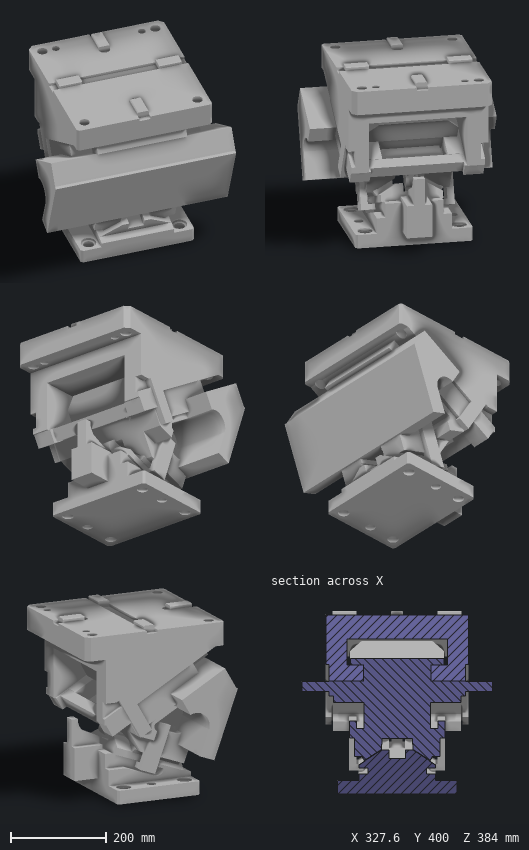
import cadquery as cq
import math


RAIL_ANGLE = math.radians(30)
RAIL_X = 126.5
RAIL_Z = 146.5
RAMP_ANGLE = math.radians(-20)
RAMP_X = 119.0
RAMP_Z = 126.5


def rail(u, v):
    """(x, z) of a point u along the rail and v square to it."""
    c, s = math.cos(RAIL_ANGLE), math.sin(RAIL_ANGLE)
    return (RAIL_X + u * c - v * s, RAIL_Z + u * s + v * c)


def ramp(p, q):
    """(x, z) of a point p along the ramp and q square to it."""
    c, s = math.cos(RAMP_ANGLE), math.sin(RAMP_ANGLE)
    return (RAMP_X + p * c - q * s, RAMP_Z + p * s + q * c)


def ramp_at_x(x, q):
    """(x, z) of the point with the given x on the ramp line of height q."""
    p = (x - RAMP_X + q * math.sin(RAMP_ANGLE)) / math.cos(RAMP_ANGLE)
    return ramp(p, q)


def rail_at_z(z, v):
    """(x, z) of the point with the given z on the rail line of height v."""
    u = (z - RAIL_Z - v * math.cos(RAIL_ANGLE)) / math.sin(RAIL_ANGLE)
    return rail(u, v)


def nose(q):
    """(x, z) of the point of ramp height q on the nose plane u = 0."""
    dx, dz = RAIL_X - RAMP_X, RAIL_Z - RAMP_Z
    q_origin = dz * math.cos(RAMP_ANGLE) - dx * math.sin(RAMP_ANGLE)
    return rail(0, (q - q_origin) / math.cos(RAIL_ANGLE - RAMP_ANGLE))


def along_y(outline, y_from, y_to):
    """Extrude a closed XZ sketch from y_from to y_to."""
    return outline.extrude(y_from - y_to).translate((0, y_from, 0))


def polygon(points):
    return cq.Workplane("XZ").polyline(points).close()


def centred(points, half_width):
    """Prism of an XZ polygon, symmetric about Y = 0."""
    return along_y(polygon(points), -half_width, half_width)


def both_sides(outline, y_inner, y_outer):
    """The same XZ sketch extruded on the +Y side and mirrored to the -Y side."""
    near = along_y(outline, y_inner, y_outer)
    return near.union(near.mirror("XZ"))


def rail_box(u0, u1, v0, v1):
    return [rail(u0, v0), rail(u1, v0), rail(u1, v1), rail(u0, v1)]


def ramp_box(p0, p1, q0, q1):
    return [ramp(p0, q0), ramp(p1, q0), ramp(p1, q1), ramp(p0, q1)]


def ramp_section(p0, p1, points):
    """Prism of a (y, q) polygon running along the ramp from p0 to p1."""
    x, z = ramp(p0, 0)
    along = (math.cos(RAMP_ANGLE), 0, math.sin(RAMP_ANGLE))
    plane = cq.Plane(origin=(x, 0, z), xDir=(0, 1, 0), normal=along)
    return cq.Workplane(plane).polyline(points).close().extrude(p1 - p0)


def flank(y):
    """q of the gable flank at the distance y from the symmetry plane."""
    return -GABLE_SLOPE * (y - GABLE_TOP_HALF)


def box(x0, x1, half_width, z0, z1):
    return cq.Workplane("XY").box(
        x1 - x0, 2 * half_width, z1 - z0, centered=(False, True, False)
    ).translate((x0, 0, z0))


SLIDE_TOP = 38.0
ARM_WIDTH = 29.5
BODY_FOOT = -14.5
SHOULDER_FOOT = 21.0
GABLE_TOP_HALF = 31.0
GABLE_SLOPE = 0.61

PLATE_LENGTH = 321.0
PLATE_HALF = 150.0
PLATE_TOP = 376.0
PLATE_BOTTOM = 325.0
FRONT_CHAMFER = 10.5
REAR_CHAMFER = 5.0
KEY_LENGTH = 50.5
KEY_WIDTH = 25.0
KEY_TOP = 384.0
KEY_CHAMFER = 2.0
SLOT_DEPTH = 6.5
CROSS_SLOT_X = 152.5
END_SLOT_LENGTH = 73.0
KEY_EDGE_GAP = 11.0
CROSS_KEY_Y = 110.5
HOLE_Y = 125.0
FRONT_HOLE_X = 25.0
REAR_HOLE_X = 295.0
HOLE_DIAMETER = 22.5
PIN_HOLE_Y = 95.0
PIN_HOLE_DIAMETER = 17.0
HOLE_DEPTH = 80.0

LEG_X = 45.0
HOLDER_FOOT = 68.0
RAIL_START = -50.0
RAIL_END = 180.5
RAIL_TIP_INNER = 100.5
RAIL_INNER = 70.0
RAIL_OUTER = 143.0
ARM_INNER = 137.5
ARM_TOP = 100.0
RECESS_TOP = 229.0
RECESS_STEP = 81.0
RECESS_FLOOR = 134.5
CAVITY_HALF = 105.0
CAVITY_TOP = 289.0
CAVITY_ROOF = 122.0
CAVITY_END = 168.0
TIE_START = -40.0
TIE_END = -16.0
TIE_FOOT = 39.0
TIE_TOP = 67.0
STOP_START = 191.0
STOP_END = 229.5
STOP_HALF = 99.0
OUTSIDE = 20.0


def make_key():
    """Key along X, centred on the origin, standing from slot floor to key top."""
    height = KEY_TOP - PLATE_TOP + SLOT_DEPTH
    key = cq.Workplane("XY").box(KEY_LENGTH, KEY_WIDTH, height, centered=(True, True, False))
    return key.faces(">Z").edges("|X").chamfer(KEY_CHAMFER)


def make_mounting_plate():
    plate = box(0, PLATE_LENGTH, PLATE_HALF, PLATE_BOTTOM, PLATE_TOP)
    plate = plate.edges("|Z and <X").chamfer(FRONT_CHAMFER)
    return plate.edges("|Z and >X").chamfer(REAR_CHAMFER)


def cut_key_slots(holder):
    floor = PLATE_TOP - SLOT_DEPTH
    radius = KEY_WIDTH / 2
    holder = holder.cut(box(CROSS_SLOT_X - radius, CROSS_SLOT_X + radius, PLATE_HALF, floor, PLATE_TOP))
    for x_edge, inward in ((0, 1), (PLATE_LENGTH, -1)):
        x_round = x_edge + inward * (END_SLOT_LENGTH - radius)
        holder = holder.cut(box(min(x_edge, x_round), max(x_edge, x_round), radius, floor, PLATE_TOP))
        holder = holder.cut(cq.Workplane("XY", origin=(x_round, 0, floor)).circle(radius).extrude(SLOT_DEPTH))
    return holder


def add_keys(holder):
    floor = PLATE_TOP - SLOT_DEPTH
    end_offset = KEY_EDGE_GAP + KEY_LENGTH / 2
    for x in (end_offset, PLATE_LENGTH - end_offset):
        holder = holder.union(make_key().translate((x, 0, floor)))
    cross_key = make_key().rotate((0, 0, 0), (0, 0, 1), 90)
    for y in (-CROSS_KEY_Y, CROSS_KEY_Y):
        holder = holder.union(cross_key.translate((CROSS_SLOT_X, y, floor)))
    return holder


def cut_mounting_holes(holder):
    top = cq.Workplane("XY", origin=(0, 0, PLATE_TOP))
    bolts = [(x, y) for x in (FRONT_HOLE_X, REAR_HOLE_X) for y in (-HOLE_Y, HOLE_Y)]
    pins = [(FRONT_HOLE_X, -PIN_HOLE_Y), (FRONT_HOLE_X, PIN_HOLE_Y)]
    holder = holder.cut(top.pushPoints(bolts).circle(HOLE_DIAMETER / 2).extrude(-HOLE_DEPTH))
    return holder.cut(top.pushPoints(pins).circle(PIN_HOLE_DIAMETER / 2).extrude(-HOLE_DEPTH))


def cut_side_recesses(body):
    """Stepped recess in both flanks, in front of the arms."""
    x_out = LEG_X - OUTSIDE
    corner = rail_at_z(RECESS_TOP, ARM_TOP)
    shallow = [rail(0, ARM_TOP), corner, (x_out, RECESS_TOP), (x_out, RAIL_Z), rail(0, 0)]
    step_front = rail(2 * RAIL_START, RECESS_STEP)
    deep = [rail(0, ARM_TOP), corner, (x_out, RECESS_TOP), step_front, rail(0, RECESS_STEP)]
    body = body.cut(both_sides(polygon(shallow), RAIL_OUTER, PLATE_HALF))
    return body.cut(both_sides(polygon(deep), RECESS_FLOOR, PLATE_HALF))


def cut_cavity(body):
    """Passage between the legs, open at the front and below."""
    x_out = LEG_X - OUTSIDE
    outline = [
        (x_out, RAIL_Z),
        (x_out, CAVITY_TOP),
        rail_at_z(CAVITY_TOP, CAVITY_ROOF),
        rail(CAVITY_END, CAVITY_ROOF),
        rail(CAVITY_END, HOLDER_FOOT),
        rail(0, HOLDER_FOOT),
    ]
    return body.cut(centred(outline, CAVITY_HALF))


def make_holder():
    body_front_foot = rail(RAIL_START, HOLDER_FOOT)
    outline = [
        (LEG_X, PLATE_BOTTOM),
        (LEG_X, body_front_foot[1]),
        body_front_foot,
        rail_at_z(PLATE_BOTTOM, HOLDER_FOOT),
    ]
    body = centred(outline, PLATE_HALF)
    body = cut_cavity(cut_side_recesses(body))
    rail_tips = polygon(rail_box(RAIL_START, TIE_END, SLIDE_TOP, HOLDER_FOOT))
    rails = polygon(rail_box(TIE_END, RAIL_END, SLIDE_TOP, HOLDER_FOOT))
    rails = both_sides(rails, RAIL_INNER, RAIL_OUTER).union(both_sides(rail_tips, RAIL_TIP_INNER, RAIL_OUTER))
    tie = centred(rail_box(TIE_START, TIE_END, TIE_FOOT, TIE_TOP), RAIL_TIP_INNER)
    arms = both_sides(polygon(rail_box(0, ARM_WIDTH, 0, ARM_TOP)), ARM_INNER, PLATE_HALF)
    end_stop = centred(rail_box(STOP_START, STOP_END, SLIDE_TOP, HOLDER_FOOT), STOP_HALF)
    holder = make_mounting_plate().union(body).union(rails).union(tie).union(arms).union(end_stop)
    return cut_mounting_holes(add_keys(cut_key_slots(holder)))


BODY_HALF = 89.5
BODY_END = 150.0
BODY_REAR_TOP = 120.0
SLIDE_END = 220.0
SHOULDER_HALF = 134.5
SHOULDER_END = 41.0
SHOULDER_REAR_TOP = 48.0
FLANGE_FOOT = 11.0
WING_HALF = 200.0
WING_START = 105.0
WING_FACE = 121.5
WING_END = 156.5
WING_REAR_TOP = 180.0
WING_BREAK = -12.5
ARC_MID = ramp(101.0, 108.0)
ARC_END = 81.0
ARC_FOOT = -1.5
POCKET_INNER = 70.0
POCKET_START = 46.0
POCKET_FRONT = ramp(31.5, 49.0)
POCKET_FLOOR = 42.0
POCKET_FLOOR_START = 43.5
POCKET_FLOOR_END = 112.0
POCKET_REAR = ramp(118.0, 43.0)
POCKET_REAR_TOP = 47.0
NECK_START = 36.0
HEAD_START = 32.0
NECK_END = 182.0
HEAD_END = 140.0
HEAD_HALF = 99.0
HEAD_TOP = 121.0
HEAD_CHAMFER = 25.0
GROOVE_WIDTH = 5.5
GROOVE_DEPTH = 8.0
CLAW_START = 51.0
CLAW_END = 86.5
CLAW_FOOT = -50.5
CLAW_TOP = 57.0
CLAW_OUTER = 100.5
CLAW_INNER = 85.0
HOOK_INNER = 70.0
HOOK_TOP = -38.5
RELIEF_TOP = 11.0
RELIEF_HALF = 75.0
LINER_START = 36.0
LINER_INNER = 33.0
LINER_TIP = 68.5
LINER_OUTER = 74.0
LINER_OVERLAP = 2.5
BUMPER_X = 120.0
BUMPER_Z = 131.0
BUMPER_RADIUS = 14.5
BUMPER_HALF = 13.0
STUB_START = -13.0
STUB_END = 10.0
STUB_FOOT = -17.5
STUB_TOP = 4.5


def make_wings():
    """Wide rear block with an arched front."""
    outline = (
        cq.Workplane("XZ")
        .moveTo(*rail(WING_START, SLIDE_TOP))
        .lineTo(*rail(WING_START, ARC_FOOT))
        .threePointArc(ARC_MID, ramp(WING_FACE, ARC_END))
        .lineTo(*ramp(WING_FACE, SHOULDER_FOOT))
        .lineTo(*ramp(WING_END, SHOULDER_FOOT))
        .lineTo(*ramp(WING_END, WING_REAR_TOP))
        .lineTo(*rail(SLIDE_END, WING_BREAK))
        .lineTo(*rail(SLIDE_END, SLIDE_TOP))
        .close()
    )
    return along_y(outline, -WING_HALF, WING_HALF)


def make_side_pockets():
    """Rounded hollows in both flanks, under the shoulders and in front of the wings."""
    outline = (
        cq.Workplane("XZ")
        .moveTo(*rail(WING_START, ARC_FOOT))
        .lineTo(*rail(POCKET_START, ARC_FOOT))
        .threePointArc(POCKET_FRONT, ramp(POCKET_FLOOR_START, POCKET_FLOOR))
        .lineTo(*ramp(POCKET_FLOOR_END, POCKET_FLOOR))
        .threePointArc(POCKET_REAR, ramp(WING_FACE, POCKET_REAR_TOP))
        .lineTo(*ramp(WING_FACE, ARC_END))
        .threePointArc(ARC_MID, rail(WING_START, ARC_FOOT))
        .close()
    )
    return both_sides(outline, POCKET_INNER, SHOULDER_HALF)


def make_vee_relief():
    """Gable-shaped passage through the slide, clear of the driver."""
    half = [
        (GABLE_TOP_HALF, SHOULDER_FOOT),
        (GABLE_TOP_HALF, RELIEF_TOP),
        (RELIEF_HALF, BODY_FOOT),
    ]
    outline = half + [(-y, q) for y, q in reversed(half)]
    return ramp_section(-OUTSIDE, BODY_END + OUTSIDE, outline)


def make_liners():
    """Pads that rest on the slopes of the driver gable."""
    outline = [
        (LINER_INNER, flank(LINER_INNER)),
        (LINER_TIP, flank(LINER_TIP)),
        (LINER_OUTER, BODY_FOOT),
        (LINER_OUTER, BODY_FOOT + LINER_OVERLAP),
        (LINER_INNER, RELIEF_TOP),
    ]
    liner = ramp_section(LINER_START, BODY_END, outline)
    return liner.union(liner.mirror("XZ"))


def make_claws():
    """Straps on both flanks with hooks that reach into the driver grooves."""
    strap = polygon(ramp_box(CLAW_START, CLAW_END, CLAW_FOOT, CLAW_TOP))
    hook = polygon(ramp_box(CLAW_START, CLAW_END, CLAW_FOOT, HOOK_TOP))
    straps = both_sides(strap, CLAW_INNER, CLAW_OUTER)
    return straps.union(both_sides(hook, HOOK_INNER, CLAW_OUTER))


def make_hanger():
    """Neck between the holder rails and chamfered head that rests on them."""
    neck = centred(rail_box(NECK_START, NECK_END, SLIDE_TOP, HOLDER_FOOT), RAIL_INNER)
    x, z = rail(HEAD_START, 0)
    along = (math.cos(RAIL_ANGLE), 0, math.sin(RAIL_ANGLE))
    plane = cq.Plane(origin=(x, 0, z), xDir=(0, 1, 0), normal=along)
    half = [
        (HEAD_HALF, HOLDER_FOOT),
        (HEAD_HALF, HEAD_TOP - HEAD_CHAMFER),
        (HEAD_HALF - HEAD_CHAMFER, HEAD_TOP),
    ]
    outline = half + [(-y, v) for y, v in reversed(half)]
    head = cq.Workplane(plane).polyline(outline).close().extrude(HEAD_END - HEAD_START)
    return neck.union(head)


def make_bumper():
    """Round-nosed stub in front of the slide, over the notch of the gable."""
    roller = cq.Workplane("XZ", origin=(BUMPER_X, 0, BUMPER_Z)).circle(BUMPER_RADIUS)
    roller = roller.extrude(BUMPER_HALF, both=True)
    return roller.union(centred(rail_box(STUB_START, STUB_END, STUB_FOOT, STUB_TOP), BUMPER_HALF))


def make_slide():
    body = centred(
        [
            rail(0, SLIDE_TOP),
            nose(BODY_FOOT),
            ramp(BODY_END, BODY_FOOT),
            ramp(BODY_END, BODY_REAR_TOP),
            rail(SLIDE_END, SLIDE_TOP),
        ],
        BODY_HALF,
    )
    shoulders = centred(
        [
            rail(0, SLIDE_TOP),
            nose(SHOULDER_FOOT),
            ramp(SHOULDER_END, SHOULDER_FOOT),
            ramp(SHOULDER_END, SHOULDER_REAR_TOP),
            rail(WING_START, ARC_FOOT),
            rail(WING_START, SLIDE_TOP),
        ],
        SHOULDER_HALF,
    )
    flanges = centred(rail_box(ARM_WIDTH, WING_START, FLANGE_FOOT, SLIDE_TOP), RAIL_OUTER)
    slide = make_wings().union(body).union(shoulders).union(flanges).cut(make_side_pockets())
    slide = slide.cut(make_vee_relief()).union(make_liners()).union(make_claws())
    groove = polygon(rail_box(0, NECK_START, SLIDE_TOP - GROOVE_DEPTH, SLIDE_TOP))
    slide = slide.cut(both_sides(groove, RAIL_INNER - GROOVE_WIDTH, RAIL_INNER))
    return slide.union(make_hanger()).union(make_bumper())


BASE_X = 85.0
BASE_END = 275.5
BASE_HALF = 125.5
BASE_TOP = 29.5
BASE_CHAMFER = 5.0
CORE_HALF = 62.0
CORE_TOP = 95.0
CORE_TOP_END = 99.5
CORE_SLOPE = -37.0
WALL_HALF = 80.5
WALL_START = 72.0
TAIL_START = 156.0
TAIL_FLAT = 5.0
GROOVE_FLOOR = -57.0
GROOVE_END = 114.0
GROOVE_RADIUS = 17.0
LEDGE_END = 125.0
GABLE_HALF = 66.5
GABLE_LENGTH = 160.0
NOTCH_HALF = 17.0
NOTCH_DEPTH = 17.5
STOP_X = 31.0
STOP_REAR = 96.0
STOP_BLOCK_HALF = 27.0
STOP_FOOT = 33.5
STOP_BLOCK_TOP = 105.0
RIB_HALF = 11.5
RIB_TOP = 163.0
RIB_TIP_END = 45.5
RIB_ARC_MID = (48.5, 149.0)
RIB_ARC_END = (57.5, 136.0)
RIB_REAR_TOP = 119.0
BASE_BOLT_X = (109.5, 250.5)
BASE_HOLE_Y = 101.0
BASE_BOLT_DIAMETER = 23.0
COUNTERBORE_DIAMETER = 33.0
COUNTERBORE_DEPTH = 5.0
BASE_PIN_X = 174.0
BASE_PIN_DIAMETER = 21.0


def make_base():
    base = box(BASE_X, BASE_END, BASE_HALF, 0, BASE_TOP).edges("|Z").chamfer(BASE_CHAMFER)
    top = cq.Workplane("XY", origin=(0, 0, BASE_TOP))
    bolts = [(x, y) for x in BASE_BOLT_X for y in (-BASE_HOLE_Y, BASE_HOLE_Y)]
    pins = [(BASE_PIN_X, -BASE_HOLE_Y), (BASE_PIN_X, BASE_HOLE_Y)]
    base = base.cut(top.pushPoints(bolts).circle(BASE_BOLT_DIAMETER / 2).extrude(-BASE_TOP))
    base = base.cut(top.pushPoints(bolts).circle(COUNTERBORE_DIAMETER / 2).extrude(-COUNTERBORE_DEPTH))
    return base.cut(top.pushPoints(pins).circle(BASE_PIN_DIAMETER / 2).extrude(-BASE_TOP))


def make_pedestal():
    """Core with a low ledge in front, crest walls behind and a groove in each flank."""
    core = centred(
        [
            (BASE_X, 0),
            (BASE_X, CORE_TOP),
            (CORE_TOP_END, CORE_TOP),
            ramp(0, CORE_SLOPE),
            ramp_at_x(BASE_END, CORE_SLOPE),
            (BASE_END, 0),
        ],
        CORE_HALF,
    )
    crest = flank(WALL_HALF)
    tail_start = ramp(TAIL_START, crest)
    tail_end = (tail_start[0] + TAIL_FLAT, tail_start[1])
    ledge = ramp_at_x(LEDGE_END, GROOVE_FLOOR)
    walls = centred(
        [
            (BASE_X, 0),
            (BASE_X, ledge[1]),
            ledge,
            ramp(WALL_START, GROOVE_FLOOR),
            ramp(WALL_START, crest),
            tail_start,
            tail_end,
            (BASE_END, tail_end[1] - (BASE_END - tail_end[0]) * math.tan(-RAMP_ANGLE)),
            (BASE_END, 0),
        ],
        WALL_HALF,
    )
    bend = GROOVE_RADIUS * (1 - math.sqrt(0.5))
    groove = (
        cq.Workplane("XZ")
        .moveTo(*ramp(CLAW_START, GROOVE_FLOOR))
        .lineTo(*ramp(GROOVE_END - GROOVE_RADIUS, GROOVE_FLOOR))
        .threePointArc(
            ramp(GROOVE_END - bend, GROOVE_FLOOR + bend),
            ramp(GROOVE_END, GROOVE_FLOOR + GROOVE_RADIUS),
        )
        .lineTo(*ramp(GROOVE_END, CORE_SLOPE))
        .lineTo(*ramp(CLAW_START, CORE_SLOPE))
        .close()
    )
    return walls.cut(both_sides(groove, CORE_HALF, WALL_HALF)).union(core)


def gable_section(p0, p1, half_width):
    """Gabled prism with a notch along its ridge."""
    half = [
        (NOTCH_HALF, -NOTCH_DEPTH),
        (NOTCH_HALF, 0),
        (GABLE_TOP_HALF, 0),
        (half_width, flank(half_width)),
        (half_width, CORE_SLOPE),
    ]
    outline = half + [(-y, q) for y, q in reversed(half)]
    return ramp_section(p0, p1, outline)


def make_gable():
    """Guide block that widens to the full pedestal over the crest walls."""
    front = gable_section(0, WALL_START, GABLE_HALF)
    return front.union(gable_section(WALL_START, GABLE_LENGTH, WALL_HALF))


def make_front_stop():
    block = box(STOP_X, STOP_REAR, STOP_BLOCK_HALF, STOP_FOOT, STOP_BLOCK_TOP)
    rib = (
        cq.Workplane("XZ")
        .moveTo(STOP_X, STOP_FOOT)
        .lineTo(STOP_X, RIB_TOP)
        .lineTo(RIB_TIP_END, RIB_TOP)
        .threePointArc(RIB_ARC_MID, RIB_ARC_END)
        .lineTo(STOP_REAR, RIB_REAR_TOP)
        .lineTo(STOP_REAR, STOP_FOOT)
        .close()
    )
    return block.union(along_y(rib, -RIB_HALF, RIB_HALF))


def make_driver():
    return make_base().union(make_pedestal()).union(make_gable()).union(make_front_stop())


holder = make_holder()
slide = make_slide()
driver = make_driver()
result = cq.Compound.makeCompound([holder.val(), slide.val(), driver.val()])